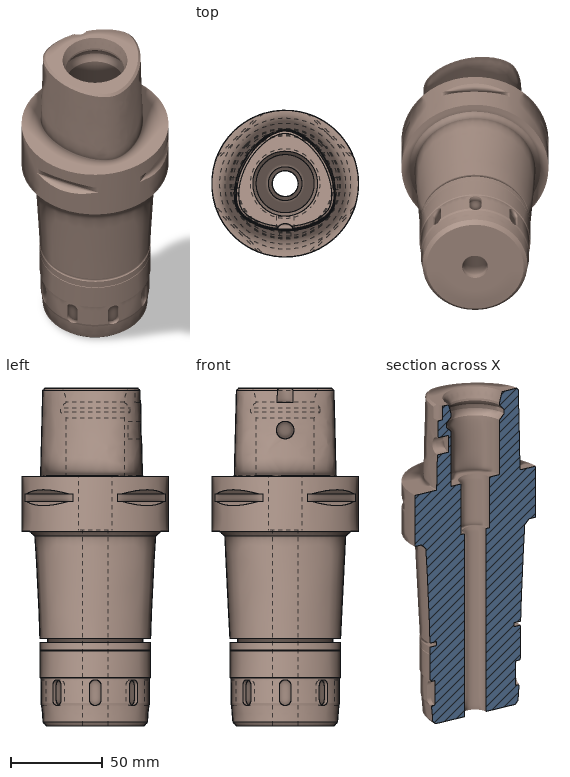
import cadquery as cq
import math

total_height = 184.1
flange_top = 136.0
flange_bottom = 106.0
shoulder_bottom = 103.5
body_bottom = 47.7
ring_top = 45.7
ring_bottom = 41.5
nut_top = 41.0
nut_bottom = 26.5
grip_top = 26.1
grip_bottom = 12.5
nose_top = 11.0
nose_chamfer_top = 2.2

flange_radius = 80.0 / 2
shoulder_top_radius = 35.7
shoulder_bottom_radius = 33.0
body_bottom_radius = 30.2
neck_radius = 26.0
nut_radius = 30.2
nut_groove_radius = 29.8
grip_radius = 29.6
nose_top_radius = 29.3
nose_bottom_radius = 28.5
nose_end_radius = 26.5

lobe_height = 2.0
curve_points = 120
shank_base_radius = 27.8
taper_per_length = 0.025
shank_chamfer = 1.3
root_fillet = 0.4

bore_mouth_radius = 17.7
bore_radius = 15.8
bore_lip_top = 6.3
bore_lip_bottom = 7.5
clamp_groove_radius = 19.0
clamp_groove_width = 2.4
bore_depth = 47.9
counterbore_radius = 9.2
counterbore_depth = 77.3
through_radius = 7.0

notch_radius = 4.8
notch_axis = 26.5
notch_depth = 8.0
chip_hole_radius = 4.8
chip_hole_depth = 22.8
chip_hole_floor = 17.9

gripper_count = 4
gripper_start_angle = 45
gripper_depth_below_end = 59.6
gripper_floor_radius = 35.5
gripper_flank_radius = 36.6
gripper_floor_width = 4.0
gripper_mouth_width = 8.7

spanner_count = 8
spanner_width = 6.5
spanner_length = 14.0
spanner_center_height = 18.2
spanner_floor_radius = 26.9


def lobed_outline(mean_radius, height):
    """Three-lobed closed curve of constant width, with one lobe toward +Y."""

    def point(turn):
        angle = 2 * math.pi * turn - math.pi / 2
        support = mean_radius - lobe_height * math.sin(3 * angle)
        slope = -3 * lobe_height * math.cos(3 * angle)
        return (
            support * math.cos(angle) - slope * math.sin(angle),
            support * math.sin(angle) + slope * math.cos(angle),
            height,
        )

    return cq.Workplane("XY").parametricCurve(point, N=curve_points).val()


def ruled_section(lower, upper):
    """Straight-sided solid between two lobed outlines, each given as (mean radius, height)."""
    wires = [lobed_outline(*lower), lobed_outline(*upper)]
    return cq.Workplane(cq.Solid.makeLoft(wires, True))


def shank():
    chamfer_bottom = total_height - shank_chamfer
    rim_radius = shank_base_radius - taper_per_length * (chamfer_bottom - flange_top)
    taper = ruled_section((shank_base_radius, flange_top), (rim_radius, chamfer_bottom))
    chamfer = ruled_section((rim_radius, chamfer_bottom), (rim_radius - shank_chamfer, total_height))
    return taper.union(chamfer)


def turned_body():
    groove_middle = (ring_bottom + nut_top) / 2
    profile = [
        (0, 0),
        (nose_end_radius, 0),
        (nose_bottom_radius, nose_chamfer_top),
        (nose_top_radius, nose_top),
        (grip_radius, grip_bottom),
        (grip_radius, grip_top),
        (nut_radius, nut_bottom),
        (nut_radius, nut_top),
        (nut_groove_radius, groove_middle),
        (nut_radius, ring_bottom),
        (nut_radius, ring_top),
        (neck_radius, ring_top),
        (neck_radius, body_bottom),
        (body_bottom_radius, body_bottom),
        (shoulder_bottom_radius, shoulder_bottom),
        (shoulder_top_radius, flange_bottom),
        (flange_radius, flange_bottom),
        (flange_radius, flange_top),
        (0, flange_top),
    ]
    return cq.Workplane("XZ").polyline(profile).close().revolve()


def fillet_shank_root(part):
    """Round the inner corner where the lobed shank meets the top of the flange."""
    reach = shank_base_radius + lobe_height
    root = cq.selectors.BoxSelector(
        (-reach, -reach, flange_top - root_fillet),
        (reach, reach, flange_top + root_fillet),
    )
    return part.edges(root).edges("not %CIRCLE").fillet(root_fillet)


def bore():
    groove_flank = clamp_groove_radius - bore_radius
    groove_top = bore_lip_bottom + groove_flank
    groove_bottom = groove_top + clamp_groove_width
    steps = [
        (0, 0),
        (bore_mouth_radius, 0),
        (bore_radius, bore_lip_top),
        (bore_radius, bore_lip_bottom),
        (clamp_groove_radius, groove_top),
        (clamp_groove_radius, groove_bottom),
        (bore_radius, groove_bottom + groove_flank),
        (bore_radius, bore_depth),
        (counterbore_radius, bore_depth),
        (counterbore_radius, counterbore_depth),
        (through_radius, counterbore_depth),
        (through_radius, total_height),
        (0, total_height),
    ]
    profile = [(radius, total_height - depth) for radius, depth in steps]
    return cq.Workplane("XZ").polyline(profile).close().revolve()


def end_notch():
    floor = cq.Workplane("XY", origin=(0, -notch_axis, total_height - notch_depth))
    return floor.circle(notch_radius).extrude(notch_depth)


def chip_hole():
    floor = cq.Workplane("XZ", origin=(0, -chip_hole_floor, total_height - chip_hole_depth))
    return floor.circle(chip_hole_radius).extrude(flange_radius - chip_hole_floor)


def gripper_groove():
    """Straight groove with a stepped floor and sloping flanks, across the +X side of the flange."""
    height = total_height - gripper_depth_below_end
    floor_half = gripper_floor_width / 2
    mouth_half = gripper_mouth_width / 2
    profile = [
        (gripper_floor_radius, height - floor_half),
        (gripper_flank_radius, height - floor_half),
        (flange_radius, height - mouth_half),
        (flange_radius, height + mouth_half),
        (gripper_flank_radius, height + floor_half),
        (gripper_floor_radius, height + floor_half),
    ]
    return cq.Workplane("XZ").polyline(profile).close().extrude(flange_radius, both=True)


def spanner_slot():
    """Upright round-ended slot in the +X side of the nut."""
    floor = cq.Workplane("YZ", origin=(spanner_floor_radius, 0, spanner_center_height))
    return floor.slot2D(spanner_length, spanner_width, 90).extrude(nut_radius - spanner_floor_radius)


def cut_around(part, cutter, count, start_angle):
    for index in range(count):
        angle = start_angle + index * 360 / count
        part = part.cut(cutter.rotate((0, 0, 0), (0, 0, 1), angle))
    return part


holder = turned_body().union(shank())
holder = fillet_shank_root(holder)
holder = holder.cut(bore()).cut(end_notch()).cut(chip_hole())
holder = cut_around(holder, gripper_groove(), gripper_count, gripper_start_angle)
holder = cut_around(holder, spanner_slot(), spanner_count, 0)
result = holder